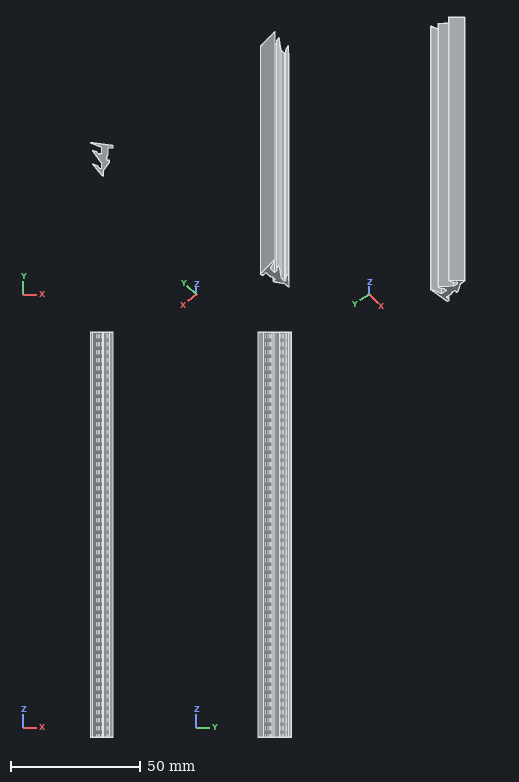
import cadquery as cq

width = 8.76
depth = 13.03
length = 156.66

left = -width / 2
right = width / 2
top = depth / 2
bottom = -depth / 2

head_drop = 1.15
head_end_thickness = 1.1
head_end_y = top - head_drop
head_underside_y = head_end_y - head_end_thickness
head_corner_radius = 0.35
lip_edge = 0.2
lip_root_y = 4.6

stem_left = -0.15
stem_right = 2.45
shoulder_y = 1.75

barb_tip_x = -3.55
barb_edge = 0.15

upper_barb_tip_y = 3.4
upper_barb_knee = (-2.0, 2.95)
upper_barb_root = (-1.35, 2.15)
upper_barb_base_y = -1.5

lower_barb_tip_y = -1.8
lower_barb_knee = (-1.5, -2.6)
lower_barb_root = (-0.85, -3.5)

foot_left = 0.3
foot_right = 0.6
foot_neck = (0.7, -4.3)

notch_x = 2.0
tooth_root_x = 2.1
tooth_tip_x = 3.05
tooth_top_y = -0.35
tooth_tip_y = -1.1


def section():
    """Closed outline of the strip, clockwise from the lip."""
    return (
        cq.Workplane("XY", origin=(0, 0, -length / 2))
        .moveTo(left, top)
        .lineTo(right, head_end_y)
        .lineTo(right, head_underside_y)
        .lineTo(stem_right, head_underside_y)
        .lineTo(stem_right, shoulder_y)
        .threePointArc((notch_x, (shoulder_y + tooth_top_y) / 2), (tooth_root_x, tooth_top_y))
        .lineTo(tooth_tip_x, tooth_top_y)
        .lineTo(tooth_tip_x, tooth_tip_y)
        .lineTo(*foot_neck)
        .lineTo(foot_right, bottom)
        .lineTo(foot_left, bottom)
        .lineTo(barb_tip_x, lower_barb_tip_y - barb_edge)
        .lineTo(barb_tip_x, lower_barb_tip_y)
        .lineTo(*lower_barb_knee)
        .lineTo(*lower_barb_root)
        .lineTo(stem_left, lower_barb_root[1])
        .lineTo(stem_left, upper_barb_base_y)
        .lineTo(barb_tip_x, upper_barb_tip_y - barb_edge)
        .lineTo(barb_tip_x, upper_barb_tip_y)
        .lineTo(*upper_barb_knee)
        .lineTo(*upper_barb_root)
        .lineTo(stem_left, upper_barb_root[1])
        .lineTo(stem_left, lip_root_y)
        .lineTo(left, top - lip_edge)
        .close()
    )


def round_head_corner(body):
    """Round the lower edge of the head's +X end."""
    lower_edge = cq.selectors.NearestToPointSelector((right, head_underside_y, 0))
    return body.edges("|Z").edges(lower_edge).fillet(head_corner_radius)


strip = section().extrude(length)
result = round_head_corner(strip)